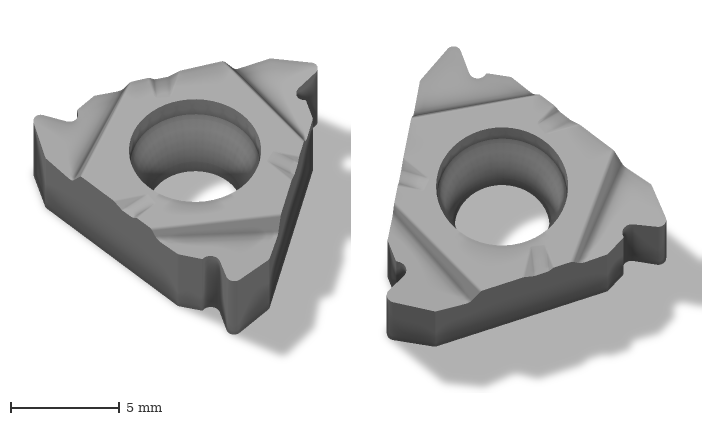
import cadquery as cq
import math

CORNERS = 3
HEIGHT = 4.22

SIDE_DISTANCE = 4.77
FLANK_DISTANCE = 6.63
SHOULDER_DISTANCE = 5.86
TOOTH_UNDERSIDE_Y = -0.64
TOOTH_TIP_RADIUS = 0.37
CORNER_RADIUS = 0.16

RELIEF_RADIUS = 0.43
RELIEF_X = 6.28
LIP_RADIUS = 0.08

BORE_RADIUS = 4.4 / 2
MOUTH_RADIUS = 3.06
SEAT_RADIUS = 2.99
SEAT_DEPTH = 1.02
THROAT_RADIUS = 2.88
THROAT_DEPTH = 1.23
SEAT_CURVE_END_DEPTH = 3.52

CHIP_ROOT_X = 4.8
CHIP_ROOT_DEPTH = 0.69
CHIP_FLOOR_RISE = 7.7
CHIP_WALL_ANGLE = 32
CHIP_TILT = 3.5
CHIP_TURN = -10.5
CHIP_ROOT_RADIUS = 0.28
CHIP_EDGE_RADIUS = 0.19

NOTCH_END_X = -3.45
NOTCH_END_Y = -0.53
NOTCH_FLOOR_WIDTH = 0.65
NOTCH_UPPER_WALL_ANGLE = 64
NOTCH_LOWER_WALL_ANGLE = 52
NOTCH_RAMP = 9.7
NOTCH_TURN = -13
NOTCH_ROOT_RADIUS = 0.14
NOTCH_EDGE_RADIUS = 0.2
NOTCH_EDGE_MIN_LENGTH = 0.81
NOTCH_EDGE_MAX_LENGTH = 2.71

SIDE_MARGIN = 0.14
CUTTER_LENGTH = 13.54
CUTTER_HEIGHT = 2.03
CUTTER_REACH = 6.77


def turned(shape, index):
    """Copy of a corner feature turned to the corner with this index."""
    return shape.rotate((0, 0, 0), (0, 0, 1), index * 360 / CORNERS)


def crossing(angle_a, distance_a, angle_b, distance_b):
    """Point where two lines meet, each given by its normal angle and distance from the axis."""
    a = math.radians(angle_a)
    b = math.radians(angle_b)
    span = math.sin(b - a)
    x = (distance_a * math.sin(b) - distance_b * math.sin(a)) / span
    y = (distance_b * math.cos(a) - distance_a * math.cos(b)) / span
    return x, y


def rotated_point(point, index):
    angle = math.radians(index * 360 / CORNERS)
    x, y = point
    return (
        x * math.cos(angle) - y * math.sin(angle),
        x * math.sin(angle) + y * math.cos(angle),
    )


def make_blank():
    heel = crossing(-60, SIDE_DISTANCE, -30, SHOULDER_DISTANCE)
    relief_y = TOOTH_UNDERSIDE_Y - RELIEF_RADIUS
    shoulder_normal = math.radians(-30)
    normal_x = math.cos(shoulder_normal)
    normal_y = math.sin(shoulder_normal)
    offset = SHOULDER_DISTANCE - RELIEF_X * normal_x - relief_y * normal_y
    half_chord = math.sqrt(RELIEF_RADIUS**2 - offset**2)
    lip = (
        RELIEF_X + offset * normal_x + half_chord * normal_y,
        relief_y + offset * normal_y - half_chord * normal_x,
    )
    relief_middle = (RELIEF_X - RELIEF_RADIUS, relief_y)
    relief_start = (RELIEF_X, TOOTH_UNDERSIDE_Y)
    tip = crossing(-90, -TOOTH_UNDERSIDE_Y, 30, FLANK_DISTANCE)
    flank_top = crossing(30, FLANK_DISTANCE, 60, SIDE_DISTANCE)

    sketch = cq.Workplane("XY").moveTo(*heel)
    for i in range(CORNERS):
        if i > 0:
            sketch = sketch.lineTo(*rotated_point(heel, i))
        sketch = sketch.lineTo(*rotated_point(lip, i))
        sketch = sketch.threePointArc(rotated_point(relief_middle, i), rotated_point(relief_start, i))
        sketch = sketch.lineTo(*rotated_point(tip, i))
        sketch = sketch.lineTo(*rotated_point(flank_top, i))
    blank = sketch.close().extrude(HEIGHT)

    def round_corner(body, point, radius):
        for i in range(CORNERS):
            x, y = rotated_point(point, i)
            edge = cq.selectors.NearestToPointSelector((x, y, HEIGHT / 2))
            body = body.edges("|Z").edges(edge).fillet(radius)
        return body

    blank = round_corner(blank, tip, TOOTH_TIP_RADIUS)
    blank = round_corner(blank, heel, CORNER_RADIUS)
    blank = round_corner(blank, lip, LIP_RADIUS)
    return round_corner(blank, flank_top, CORNER_RADIUS)


def make_chip_cutter():
    """Wedge above the chip face, with a rounded root; it slopes down along +Y."""
    wall_run = CUTTER_HEIGHT * math.tan(math.radians(CHIP_WALL_ANGLE))
    floor_rise = CUTTER_REACH * math.tan(math.radians(CHIP_FLOOR_RISE))
    profile = [
        (0, 0),
        (CUTTER_REACH, floor_rise),
        (CUTTER_REACH, CUTTER_HEIGHT),
        (-wall_run, CUTTER_HEIGHT),
    ]
    cutter = cq.Workplane("XZ").polyline(profile).close().extrude(CUTTER_LENGTH / 2, both=True)
    cutter = cutter.edges("|Y and <Z").fillet(CHIP_ROOT_RADIUS)
    cutter = cutter.rotate((0, 0, 0), (1, 0, 0), -CHIP_TILT)
    cutter = cutter.rotate((0, 0, 0), (0, 0, 1), CHIP_TURN)
    return cutter.translate((CHIP_ROOT_X, 0, HEIGHT - CHIP_ROOT_DEPTH))


def make_notch_cutter():
    """Flared channel whose floor ramps down from the top face towards the -X side."""
    half_floor = NOTCH_FLOOR_WIDTH / 2
    upper_run = CUTTER_HEIGHT * math.tan(math.radians(NOTCH_UPPER_WALL_ANGLE))
    lower_run = CUTTER_HEIGHT * math.tan(math.radians(NOTCH_LOWER_WALL_ANGLE))
    profile = [
        (-half_floor, 0),
        (half_floor, 0),
        (half_floor + upper_run, CUTTER_HEIGHT),
        (-half_floor - lower_run, CUTTER_HEIGHT),
    ]
    cutter = cq.Workplane("YZ").polyline(profile).close().extrude(-CUTTER_REACH)
    cutter = cutter.faces("<Z").edges("|X").fillet(NOTCH_ROOT_RADIUS)
    cutter = cutter.rotate((0, 0, 0), (0, 1, 0), -NOTCH_RAMP)
    cutter = cutter.rotate((0, 0, 0), (0, 0, 1), NOTCH_TURN)
    return cutter.translate((NOTCH_END_X, NOTCH_END_Y, HEIGHT))


def make_hole_cutter():
    """Screw hole: slightly tapered mouth, then a bulging seat that runs smoothly into the bore."""
    throat_z = HEIGHT - THROAT_DEPTH
    curve_end_z = HEIGHT - SEAT_CURVE_END_DEPTH
    return (
        cq.Workplane("XZ")
        .lineTo(BORE_RADIUS, 0)
        .lineTo(BORE_RADIUS, curve_end_z)
        .tangentArcPoint((THROAT_RADIUS, throat_z), relative=False)
        .lineTo(SEAT_RADIUS, HEIGHT - SEAT_DEPTH)
        .lineTo(MOUTH_RADIUS, HEIGHT)
        .lineTo(0, HEIGHT)
        .close()
        .revolve(360, (0, 0, 0), (0, 1, 0))
    )


def inner_top_edges(body):
    """Edges of the top face that lie inside the three long sides."""
    edges = []
    for edge in body.faces(">Z").edges().vals():
        middle = edge.Center()
        if math.hypot(middle.x, middle.y) < SIDE_DISTANCE - SIDE_MARGIN:
            edges.append(edge)
    return edges


def round_chip_edges(body):
    """Round the top edges of the chip walls."""
    return body.newObject(inner_top_edges(body)).fillet(CHIP_EDGE_RADIUS)


def round_notch_edges(body):
    """Round the two long top edges of each notch; they lie near the middle of the sides."""
    edges = []
    for edge in inner_top_edges(body):
        if NOTCH_EDGE_MIN_LENGTH < edge.Length() < NOTCH_EDGE_MAX_LENGTH:
            edges.append(edge)
    return body.newObject(edges).fillet(NOTCH_EDGE_RADIUS)


body = make_blank()
for corner in range(CORNERS):
    body = body.cut(turned(make_chip_cutter(), corner))
body = round_chip_edges(body)
for side in range(CORNERS):
    body = body.cut(turned(make_notch_cutter(), side))
body = round_notch_edges(body)
result = body.cut(make_hole_cutter())